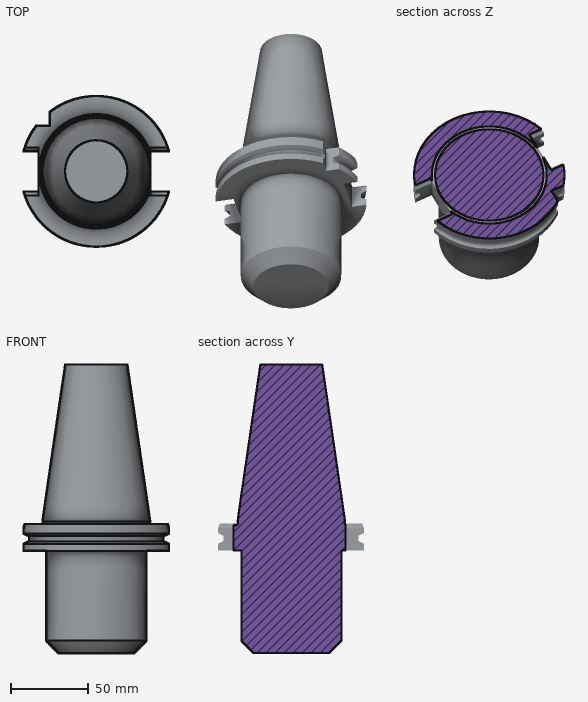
import cadquery as cq

total_height = 186.6
flange_bottom = 66.2
flange_thickness = 17.4
flange_top = flange_bottom + flange_thickness
neck_height = 1.5
gauge_height = flange_top + neck_height

nose_radius = 65.0 / 2
nose_chamfer = 8.2

gauge_radius = 34.9
taper_ratio = 7 / 24
taper_tip_radius = gauge_radius - (total_height - gauge_height) * taper_ratio / 2

neck_radius = 69.2 / 2
relief_radius = 37.0
relief_floor_radius = 35.6
relief_depth = 0.7

flange_radius = 97.4 / 2
groove_floor_radius = 45.3
groove_offset = 7.8
groove_middle = flange_bottom + groove_offset
groove_floor_width = 3.4
groove_mouth_width = 6.7

slot_width = 25.8
slot_chamfer = 2.6
left_slot_floor = 37.3
right_slot_floor = 35.0

notch_x = -30.0
notch_y = 29.5


def revolved_body():
    """Half profile of nose, grooved flange, neck and taper, turned about Z."""
    profile = [
        (0, 0),
        (nose_radius - nose_chamfer, 0),
        (nose_radius, nose_chamfer),
        (nose_radius, flange_bottom),
        (flange_radius, flange_bottom),
        (flange_radius, groove_middle - groove_mouth_width / 2),
        (groove_floor_radius, groove_middle - groove_floor_width / 2),
        (groove_floor_radius, groove_middle + groove_floor_width / 2),
        (flange_radius, groove_middle + groove_mouth_width / 2),
        (flange_radius, flange_top),
        (relief_radius, flange_top),
        (relief_radius, flange_top - relief_depth),
        (relief_floor_radius, flange_top - relief_depth),
        (neck_radius, flange_top),
        (neck_radius, gauge_height),
        (gauge_radius, gauge_height),
        (taper_tip_radius, total_height),
        (0, total_height),
    ]
    return cq.Workplane("XZ").polyline(profile).close().revolve(360, (0, 0), (0, 1))


def drive_slot(floor_distance, side):
    """Slot cutter with a chamfered mouth; side is -1 for -X and +1 for +X."""
    half_width = slot_width / 2
    mouth = half_width + slot_chamfer
    section = [
        (-half_width, flange_bottom),
        (half_width, flange_bottom),
        (half_width, flange_top - slot_chamfer),
        (mouth, flange_top),
        (-mouth, flange_top),
        (-half_width, flange_top - slot_chamfer),
    ]
    return (
        cq.Workplane("YZ", origin=(side * floor_distance, 0, 0))
        .polyline(section)
        .close()
        .extrude(side * flange_radius)
    )


def corner_notch():
    """Square-cornered cutter through the flange at the (-X, +Y) edge."""
    return cq.Workplane("XY").box(
        flange_radius, flange_radius, flange_thickness, centered=False
    ).translate((notch_x - flange_radius, notch_y, flange_bottom))


result = (
    revolved_body()
    .cut(drive_slot(left_slot_floor, -1))
    .cut(drive_slot(right_slot_floor, 1))
    .cut(corner_notch())
)